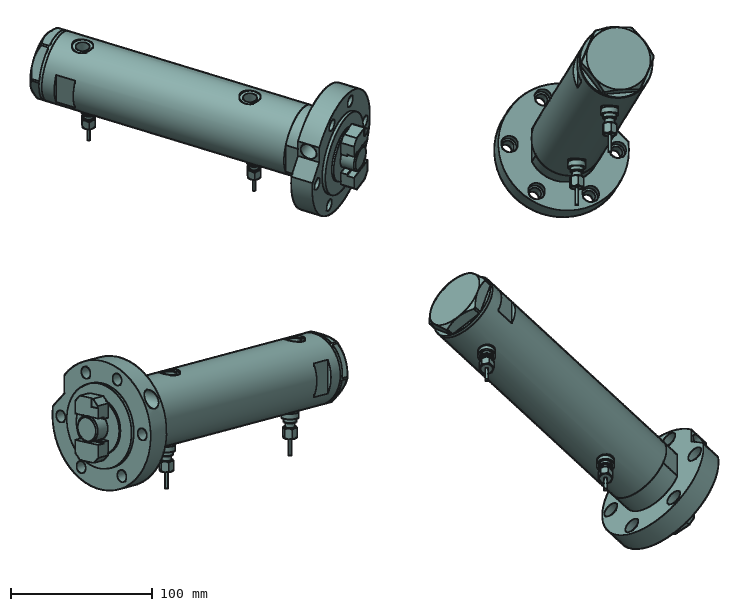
import cadquery as cq
import math


overall_height = 105.5
flange_radius = 94.0 / 2

barrel_radius = 52.0 / 2
bore_radius = 16.0
barrel_start = 10.7
barrel_end = 200.5
wrench_across_flats = 45.9
flat_half_width = wrench_across_flats / 2
wrench_flat_start = 20.5
wrench_flat_length = 15.0

first_port_x = 30.2
port_spacing = 131.3
port_radius = 5.0
port_face_radius = 15.2 / 2
port_face_z = 24.7

first_sensor_x = 35.0
sensor_spacing = 129.8
sensor_collar_radius = 6.2
sensor_boss_bottom = -27.0
sensor_collar_bottom = -31.0
sensor_step_radius = 4.7
sensor_step_bottom = -34.5
sensor_step_chamfer = 0.7
sensor_neck_radius = 3.5
sensor_nut_top = -37.6
sensor_nut_bottom = -45.9
sensor_nut_across_flats = 9.2
sensor_nut_chamfer = 1.0
cable_radius = 1.12
cable_bottom = flange_radius - overall_height

cap_hex_length = 8.5
cap_hex_turn = 8.0
cap_face_radius = 23.0
cap_chamfer_length = 2.7
cap_spigot_end = 34.1

neck_radius = 26.0
flange_start = 216.3
flange_thickness = 16.7
flange_end = flange_start + flange_thickness
pilot_radius = 31.0
pilot_end = 235.5
bolt_circle_radius = 39.0
bolt_angles = (0, 67.5, 112.5, 180, 240, 300)
bolt_hole_radius = 8.7 / 2
counterbore_radius = 6.0
counterbore_depth = 6.5
notch_y = -35.6
notch_floor_z = 17.2
cross_hole_radius = 6.2
cross_hole_z = 24.2

gland_radius = 20.5
gland_start = 164.7
gland_end = 237.0
piston_length = 20.0
rod_radius = 19.2 / 2
rod_flat_z = 16.7 / 2
rod_head_start = 243.0
rod_end = 248.5
rod_chamfer = 1.0

jaw_start = 238.3
jaw_end = rod_end
jaw_half_width = 22.2 / 2
jaw_outer_z = 23.5
jaw_chamfer = 4.5
pad_size = 6.2
pad_end = 249.2


def hexagon_corner_diameter(across_flats):
    return across_flats / math.cos(math.pi / 6)


def rod_along_x(start, end, radius):
    return cq.Workplane("YZ", origin=(start, 0, 0)).circle(radius).extrude(end - start)


def rod_along_z(x, bottom, top, radius):
    return cq.Workplane("XY", origin=(x, 0, bottom)).circle(radius).extrude(top - bottom)


def box_between(start, end):
    """Box spanning two opposite corners."""
    size = [b - a for a, b in zip(start, end)]
    return cq.Workplane("XY").box(*size, centered=False).translate(start)


def flats_slab(start, end):
    """Slab as thick as the distance across the wrench flats."""
    return box_between(
        (start, -flat_half_width, -barrel_radius), (end, flat_half_width, barrel_radius)
    )


port_places = [first_port_x, first_port_x + port_spacing]
sensor_places = [first_sensor_x, first_sensor_x + sensor_spacing]


def make_barrel():
    body = rod_along_x(barrel_start, barrel_end, barrel_radius)
    flat_end = wrench_flat_start + wrench_flat_length
    band = rod_along_x(wrench_flat_start, flat_end, barrel_radius)
    body = body.cut(band.cut(flats_slab(wrench_flat_start, flat_end)))
    for x in sensor_places:
        body = body.union(rod_along_z(x, sensor_boss_bottom, 0, sensor_collar_radius))
    body = body.cut(rod_along_x(barrel_start, barrel_end, bore_radius))
    body = body.cut(rod_along_x(gland_start, barrel_end, gland_radius))
    for x in port_places:
        body = body.cut(rod_along_z(x, 0, barrel_radius, port_radius))
        body = body.cut(rod_along_z(x, port_face_z, barrel_radius, port_face_radius))
    return body


def make_cap():
    hexagon = (
        cq.Workplane("YZ")
        .polygon(6, hexagon_corner_diameter(wrench_across_flats))
        .extrude(cap_hex_length)
        .rotate((0, 0, 0), (1, 0, 0), -cap_hex_turn)
    )
    turned_outline = (
        cq.Workplane("XY")
        .moveTo(0, 0)
        .lineTo(0, cap_face_radius)
        .lineTo(cap_chamfer_length, barrel_radius)
        .lineTo(cap_hex_length, barrel_radius)
        .lineTo(cap_hex_length, 0)
        .close()
        .revolve(360, (0, 0, 0), (1, 0, 0))
    )
    collar = rod_along_x(cap_hex_length, barrel_start, barrel_radius)
    spigot = rod_along_x(barrel_start, cap_spigot_end, bore_radius)
    return hexagon.intersect(turned_outline).union(collar).union(spigot)


def rim_notch():
    """Prism cut from the -Y side of the rim: a flat and a 45 degree ramp below it."""
    ramp_width = notch_floor_z
    outside_y = notch_y - ramp_width
    return (
        cq.Workplane("YZ", origin=(flange_start, 0, 0))
        .moveTo(notch_y, flange_radius)
        .lineTo(notch_y, notch_floor_z)
        .lineTo(outside_y, notch_floor_z - ramp_width)
        .lineTo(outside_y, flange_radius)
        .close()
        .extrude(flange_thickness)
    )


def make_flange():
    neck = rod_along_x(barrel_end, flange_start, neck_radius)
    neck = neck.intersect(flats_slab(barrel_end, flange_start))
    body = neck.union(rod_along_x(flange_start, flange_end, flange_radius))
    body = body.union(rod_along_x(flange_end, pilot_end, pilot_radius))
    for angle in bolt_angles:
        y = bolt_circle_radius * math.cos(math.radians(angle))
        z = bolt_circle_radius * math.sin(math.radians(angle))
        hole = rod_along_x(flange_start, flange_end, bolt_hole_radius)
        counterbore = rod_along_x(flange_start, flange_start + counterbore_depth, counterbore_radius)
        body = body.cut(hole.union(counterbore).translate((0, y, z)))
    body = body.cut(rim_notch())
    cross_hole = (
        cq.Workplane("XZ", origin=(flange_start + flange_thickness / 2, 0, cross_hole_z))
        .circle(cross_hole_radius)
        .extrude(flange_radius, both=True)
    )
    bore = rod_along_x(barrel_end, pilot_end, gland_radius)
    return body.cut(cross_hole).cut(bore)


def make_gland():
    body = rod_along_x(gland_start, gland_end, gland_radius)
    return body.cut(rod_along_x(gland_start, gland_end, rod_radius))


def make_piston_rod():
    piston = rod_along_x(cap_spigot_end, cap_spigot_end + piston_length, bore_radius)
    rod = rod_along_x(cap_spigot_end, rod_end, rod_radius).faces(">X").chamfer(rod_chamfer)
    for bottom in (rod_flat_z, -rod_flat_z - rod_radius):
        top = bottom + rod_radius
        rod = rod.cut(
            box_between((gland_end, -rod_radius, bottom), (rod_head_start, rod_radius, top))
        )
    return piston.union(rod)


def make_jaw():
    """Upper jaw: it rests on the rod flat and clears the round rod head."""
    body = box_between(
        (jaw_start, -jaw_half_width, rod_flat_z), (jaw_end, jaw_half_width, jaw_outer_z)
    )
    body = body.edges("|X and >Z").chamfer(jaw_chamfer)
    head_clearance = box_between(
        (rod_head_start, -jaw_half_width, rod_flat_z), (jaw_end, jaw_half_width, rod_radius)
    )
    return body.cut(head_clearance)


def make_upper_jaw():
    """Jaw with a low pad on one corner of its outer face."""
    pad = box_between(
        (jaw_end, jaw_half_width - pad_size, jaw_outer_z - pad_size),
        (pad_end, jaw_half_width, jaw_outer_z),
    )
    pad = pad.edges("|X and >Y and >Z").chamfer(jaw_chamfer)
    return make_jaw().union(pad)


def make_lower_jaw():
    return make_jaw().mirror("XY")


def make_sensor(x):
    collar = rod_along_z(x, sensor_collar_bottom, sensor_boss_bottom, sensor_collar_radius)
    step = rod_along_z(x, sensor_step_bottom, sensor_collar_bottom, sensor_step_radius)
    step = step.faces("<Z").chamfer(sensor_step_chamfer)
    neck = rod_along_z(x, sensor_nut_top, sensor_step_bottom, sensor_neck_radius)
    nut_height = sensor_nut_top - sensor_nut_bottom
    corner_diameter = hexagon_corner_diameter(sensor_nut_across_flats)
    nut = (
        cq.Workplane("XY", origin=(x, 0, sensor_nut_bottom))
        .polygon(6, corner_diameter)
        .extrude(nut_height)
    )
    turned_nut = rod_along_z(x, sensor_nut_bottom, sensor_nut_top, corner_diameter / 2)
    nut = nut.intersect(turned_nut.faces("<Z or >Z").chamfer(sensor_nut_chamfer))
    cable = rod_along_z(x, cable_bottom, sensor_nut_bottom, cable_radius)
    return collar.union(step).union(neck).union(nut).union(cable)


barrel = make_barrel()
cap = make_cap()
flange = make_flange()
gland = make_gland()
piston_rod = make_piston_rod()
upper_jaw = make_upper_jaw()
lower_jaw = make_lower_jaw()
sensors = [make_sensor(x) for x in sensor_places]

result = cq.Compound.makeCompound([
    barrel.val(),
    cap.val(),
    flange.val(),
    gland.val(),
    piston_rod.val(),
    upper_jaw.val(),
    lower_jaw.val(),
    *[sensor.val() for sensor in sensors],
])